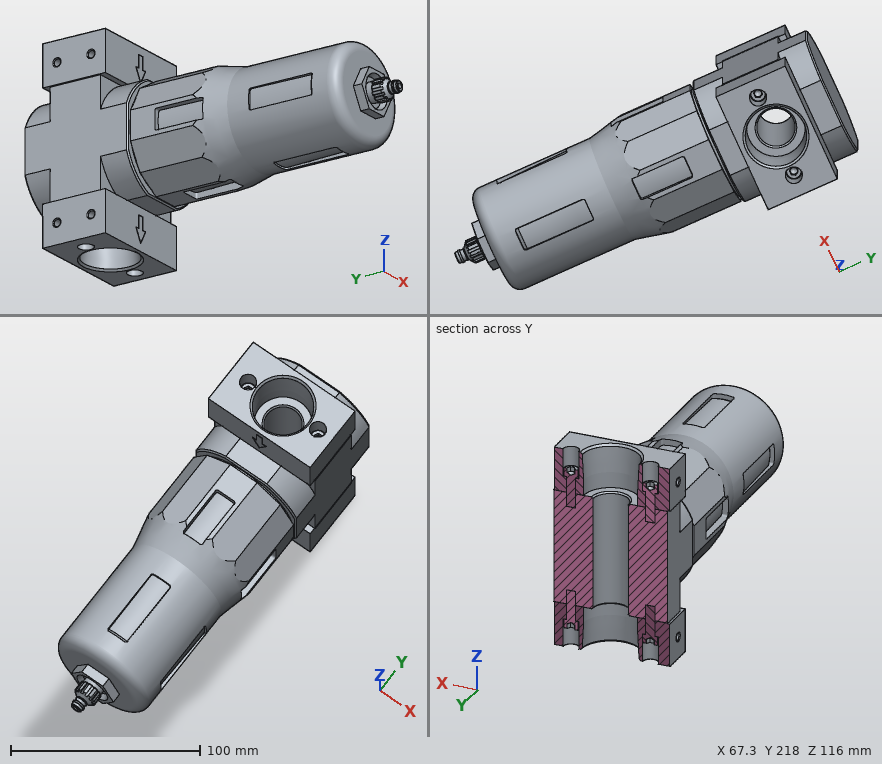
import cadquery as cq
import math


body_half = 33.0
body_front_y = -33.5
corner_radius = 35.5
middle_half = 16.1
end_chamfer = 0.9
port_bore_diameter = 20.3
port_lip_diameter = 22.0
neck_diameter = 62.0
neck_length = 1.5

plate_thickness = 25.0
plate_width = 66.7
plate_depth = 40.1
plate_offset = -0.9
thread_mouth_diameter = 34.9
thread_diameter = 32.5
thread_core_diameter = 31.0
thread_depth = 16.1
side_hole_diameter = 4.1
side_hole_mouth_diameter = 5.2
side_hole_depth = 6.5
side_hole_spacing = 21.8
drill_half_angle = math.radians(59)
arrow_length = 15.5
arrow_head_length = 7.8
arrow_head_width = 9.0
arrow_shaft_width = 3.7
arrow_depth = 0.2

screw_spacing = 45.8
screw_hole_diameter = 9.0
head_diameter = 8.5
head_height = 5.0
head_chamfer = 0.5
head_recess = 11.0
shank_diameter = 5.0
shank_length = 17.5
socket_corner_diameter = 4.5
socket_depth = 2.6

guard_top = body_front_y - neck_length
guard_apothem = 32.7
guard_flats = 12
guard_shoulder_y = -68.5
guard_shoulder_radius = 35.3
guard_tube_y = -94.8
guard_tube_diameter = 58.6
guard_bottom_y = -164.8
guard_fillet = 6.0
window_width = 12.5
window_corner = 1.0
upper_window = (-50.8, -81.0)
lower_window = (-108.3, -148.7)

bowl_top_radius = 30.0
bowl_bottom_radius = 27.2
bowl_taper_end_y = -147.0
bowl_bottom_y = -157.0
bowl_floor_radius = 23.0
outlet_diameter = 22.0
hex_across_flats = 24.0
hex_height = 5.5
recess_mouth_diameter = 20.0
recess_floor_diameter = 17.5
recess_depth = 3.3

collar_diameter = 11.8
knob_diameter = 13.0
knob_gap = 1.0
knob_length = 5.7
knob_cone_length = 2.5
knob_grooves = 12
groove_width = 1.5
groove_depth = 1.0
nozzle_diameter = 6.3
nozzle_root_diameter = 7.0
nozzle_root_length = 0.7
bead_diameter = 7.2
bead_start = 2.6
bead_length = 1.0
nozzle_chamfer = 0.5
nozzle_bore_diameter = 3.0
nozzle_bore_depth = 4.4
tip_y = body_half - 218.0

hex_face_y = guard_bottom_y - hex_height
plate_top = body_half + plate_thickness
plate_middle = body_half + plate_thickness / 2
screw_xs = (-screw_spacing / 2, screw_spacing / 2)


def turned(points):
    """Solid of revolution about Y from (radius, y) points; the axis closes the outline."""
    outline = [(0, points[0][1])] + points + [(0, points[-1][1])]
    return cq.Workplane("XY").polyline(outline).close().revolve(360, (0, 0), (0, 1))


def rod(diameter, z_low, z_high, x=0):
    """Upright cylinder between two heights."""
    return cq.Workplane("XY", origin=(x, 0, z_low)).circle(diameter / 2).extrude(z_high - z_low)


def upright_cone(low_diameter, high_diameter, z_low, z_high, x=0):
    """Upright cone with its lower and upper diameters."""
    cone = cq.Solid.makeCone(low_diameter / 2, high_diameter / 2, z_high - z_low, cq.Vector(x, 0, z_low))
    return cq.Workplane(obj=cone)


def hexagon_prism(across_corners, y_start, length):
    """Hexagonal prism running towards -Y, with two corners on the X direction."""
    return cq.Workplane("XZ", origin=(0, y_start, 0)).polygon(6, across_corners).extrude(length)


def below_plane(shape):
    """Upside-down copy: the shape mirrored through Z = 0."""
    return shape.mirror("XY")



def make_screw(x):
    """Socket head screw of the upper plate."""
    head_top = plate_top - head_recess
    seat = head_top - head_height
    screw = rod(head_diameter, seat, head_top, x).faces(">Z").chamfer(head_chamfer)
    screw = screw.union(rod(shank_diameter, seat - shank_length, seat, x))
    socket_floor = head_top - socket_depth
    socket = cq.Workplane("XY", origin=(x, 0, socket_floor)).polygon(6, socket_corner_diameter)
    screw = screw.cut(socket.extrude(socket_depth))
    point_width = socket_corner_diameter * math.cos(math.pi / 6)
    point_depth = point_width / 2 / math.tan(drill_half_angle)
    return screw.cut(upright_cone(0, point_width, socket_floor - point_depth, socket_floor, x))


upper_screws = [make_screw(x) for x in screw_xs]
lower_screws = [below_plane(screw) for screw in upper_screws]



def make_body():
    """Cross-shaped block with round end corners, a vertical port and a neck for the guard."""
    size = 2 * body_half
    length = body_half - body_front_y
    ends = cq.Workplane("XZ", origin=(0, body_half, 0)).circle(corner_radius).extrude(length)
    ends = ends.intersect(cq.Workplane("XZ", origin=(0, body_half, 0)).rect(size, size).extrude(length))
    ends = ends.faces("<Y or >Y").chamfer(end_chamfer)
    body = ends.union(cq.Workplane("XY").box(size, 2 * middle_half, size))
    neck = cq.Workplane("XZ", origin=(0, -middle_half, 0)).circle(neck_diameter / 2)
    body = body.union(neck.extrude(-guard_top - middle_half))
    body = body.cut(rod(port_bore_diameter, -body_half, body_half))
    lip = (port_lip_diameter - port_bore_diameter) / 2
    mouth = upright_cone(port_bore_diameter, port_lip_diameter, body_half - lip, body_half)
    body = body.cut(mouth).cut(below_plane(mouth))
    shank_end = plate_top - head_recess - head_height - shank_length
    for x in screw_xs:
        hole = rod(shank_diameter, shank_end, body_half, x)
        body = body.cut(hole).cut(below_plane(hole))
    return body



def side_hole(y):
    """Countersunk blind hole with a drill point, entering the -X side of the upper plate."""
    radius = side_hole_diameter / 2
    mouth_radius = side_hole_mouth_diameter / 2
    outline = [
        (0, 0),
        (0, mouth_radius),
        (mouth_radius - radius, radius),
        (side_hole_depth, radius),
        (side_hole_depth + radius / math.tan(drill_half_angle), 0),
    ]
    hole = cq.Workplane("XY").polyline(outline).close().revolve(360, (0, 0), (1, 0))
    return hole.translate((plate_offset - plate_width / 2, y, plate_middle))


def arrow(z_centre):
    """Flow arrow pointing to -Z, sunk into the -Y side of a plate."""
    tail = arrow_length / 2
    shoulder = arrow_head_length - tail
    right_side = [
        (arrow_shaft_width / 2, tail),
        (arrow_shaft_width / 2, shoulder),
        (arrow_head_width / 2, shoulder),
    ]
    left_side = [(-x, z) for x, z in reversed(right_side)]
    outline = right_side + [(0, -tail)] + left_side
    sketch = cq.Workplane("XZ", origin=(plate_offset, -plate_depth / 2, z_centre))
    return sketch.polyline(outline).close().extrude(-arrow_depth)


def make_upper_plate():
    """Plate with its threaded port, screw holes and side holes."""
    plate = cq.Workplane("XY").box(plate_width, plate_depth, plate_thickness)
    plate = plate.translate((plate_offset, 0, plate_middle))
    plate = plate.cut(rod(thread_core_diameter, body_half, plate_top))
    chamfer = (thread_mouth_diameter - thread_diameter) / 2
    thread_top = plate_top - chamfer
    thread_end = plate_top - thread_depth
    plate = plate.cut(upright_cone(thread_core_diameter, thread_diameter, thread_end, thread_top))
    plate = plate.cut(upright_cone(thread_diameter, thread_mouth_diameter, thread_top, plate_top))
    for x in screw_xs:
        plate = plate.cut(rod(screw_hole_diameter, plate_top - head_recess - head_height, plate_top, x))
        plate = plate.cut(rod(shank_diameter, body_half, plate_top, x))
    for y in (-side_hole_spacing / 2, side_hole_spacing / 2):
        plate = plate.cut(side_hole(y))
    return plate


plain_plate = make_upper_plate()
upper_plate = plain_plate.cut(arrow(plate_middle))
lower_plate = below_plane(plain_plate).cut(arrow(-plate_middle))



def make_drain():
    """Grooved drain knob with a collar in the outlet recess and a beaded hose nozzle."""
    knob_y = hex_face_y - knob_gap
    cone_y = knob_y - knob_length
    nozzle_y = cone_y - knob_cone_length
    bead_y = nozzle_y - bead_start
    drain = turned([
        (collar_diameter / 2, hex_face_y + recess_depth),
        (collar_diameter / 2, knob_y),
        (knob_diameter / 2, knob_y),
        (knob_diameter / 2, cone_y),
        (nozzle_root_diameter / 2, nozzle_y),
        (nozzle_root_diameter / 2, nozzle_y - nozzle_root_length),
        (nozzle_diameter / 2, nozzle_y - nozzle_root_length),
        (nozzle_diameter / 2, bead_y),
        (bead_diameter / 2, bead_y),
        (bead_diameter / 2, bead_y - bead_length),
        (nozzle_diameter / 2, bead_y - bead_length),
        (nozzle_diameter / 2, tip_y + nozzle_chamfer),
        (nozzle_diameter / 2 - nozzle_chamfer, tip_y),
    ])
    groove = cq.Workplane("XY").box(2 * groove_depth, knob_length + knob_cone_length, groove_width)
    groove = groove.translate((knob_diameter / 2, (knob_y + nozzle_y) / 2, 0))
    pitch = 360 / knob_grooves
    for index in range(knob_grooves):
        drain = drain.cut(groove.rotate((0, 0, 0), (0, 1, 0), (index + 0.5) * pitch))
    bore = cq.Workplane("XZ", origin=(0, tip_y, 0)).circle(nozzle_bore_diameter / 2)
    return drain.cut(bore.extrude(-nozzle_bore_depth))



def make_bowl():
    """Tapered bowl whose outlet passes through the guard and ends in a hexagon."""
    bowl = turned([
        (bowl_top_radius, guard_top),
        (bowl_bottom_radius, bowl_taper_end_y),
        (bowl_floor_radius, bowl_bottom_y),
        (outlet_diameter / 2, bowl_bottom_y),
        (outlet_diameter / 2, guard_bottom_y),
    ])
    across_corners = hex_across_flats / math.cos(math.pi / 6)
    bowl = bowl.union(hexagon_prism(across_corners, guard_bottom_y, hex_height))
    recess = turned([
        (recess_floor_diameter / 2, hex_face_y + recess_depth),
        (recess_mouth_diameter / 2, hex_face_y),
    ])
    return bowl.cut(recess)



def window(span):
    """Rounded bar that opens one window through the -X and +X walls."""
    start_y, end_y = span
    bar = cq.Workplane("XY").box(4 * guard_apothem, start_y - end_y, window_width)
    return bar.edges("|X").fillet(window_corner).translate((0, (start_y + end_y) / 2, 0))


def make_guard(bowl):
    """Twelve-sided grip tapering to a round tube, hollowed to fit the bowl."""
    tube_end_y = guard_bottom_y + guard_fillet
    tube_radius = guard_tube_diameter / 2
    floor_radius = tube_radius - guard_fillet
    diagonal = guard_fillet * math.sqrt(0.5)
    guard = (
        cq.Workplane("XY")
        .moveTo(0, guard_top)
        .lineTo(guard_shoulder_radius, guard_top)
        .lineTo(guard_shoulder_radius, guard_shoulder_y)
        .lineTo(tube_radius, guard_tube_y)
        .lineTo(tube_radius, tube_end_y)
        .threePointArc((floor_radius + diagonal, tube_end_y - diagonal), (floor_radius, guard_bottom_y))
        .lineTo(0, guard_bottom_y)
        .close()
        .revolve(360, (0, 0), (0, 1))
    )
    half_step = math.pi / guard_flats
    across_corners = 2 * guard_apothem / math.cos(half_step)
    corner_direction = (math.cos(half_step), 0, math.sin(half_step))
    flats_plane = cq.Plane((0, guard_top, 0), corner_direction, (0, -1, 0))
    flats = cq.Workplane(flats_plane).polygon(guard_flats, across_corners)
    flats = flats.extrude(guard_top - guard_bottom_y)
    guard = guard.intersect(flats).cut(bowl)
    for span in (upper_window, lower_window):
        bar = window(span)
        guard = guard.cut(bar).cut(bar.rotate((0, 0, 0), (0, 1, 0), 90))
    return guard


body = make_body()
drain = make_drain()
bowl = make_bowl()
guard = make_guard(bowl)

result = cq.Compound.makeCompound([
    body.val(),
    upper_plate.val(),
    lower_plate.val(),
    *[screw.val() for screw in upper_screws + lower_screws],
    guard.val(),
    bowl.val(),
    drain.val(),
])